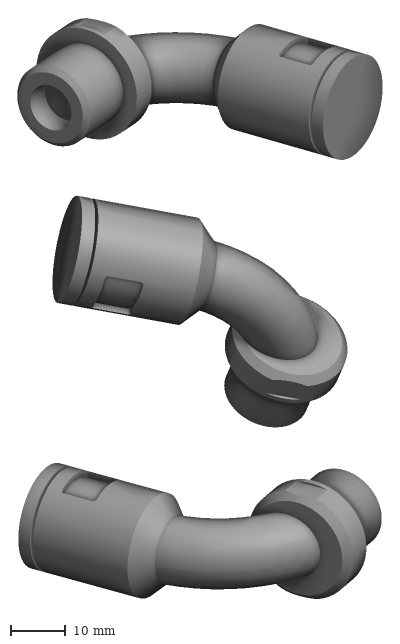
import cadquery as cq
import math


barrel_diameter = 20.0
barrel_end_x = 46.2
barrel_length = 23.0
barrel_start_x = barrel_end_x - barrel_length
neck_cone_run = 4.0

groove_diameter = 15.3
groove_width = 0.6
end_collar_length = 2.5

recess_length = 7.3
recess_width = 9.5
recess_depth = 1.2
recess_corner_radius = 0.6
recess_center_x = 36.6

tube_diameter = 13.0
bend_radius = 24.0
bend_center_x = barrel_start_x

spigot_diameter = 16.0
spigot_length = 12.0
spigot_end_y = -30.5
spigot_chamfer = 1.0
flange_diameter = 22.0
flange_thickness = 6.4
flange_chamfer = 1.45
flange_front_y = spigot_end_y + spigot_length
flange_back_y = flange_front_y + flange_thickness

across_flats = 21.0
flat_rim_thickness = 1.0

bore_diameter = 9.0
bore_depth = 5.0


def x_cylinder(diameter, start_x, length):
    """Cylinder on the barrel axis."""
    plane = cq.Workplane("YZ", origin=(start_x, 0, 0))
    return plane.circle(diameter / 2).extrude(length)


def y_cylinder(diameter, start_y, length):
    """Cylinder on the spigot axis, growing toward +Y."""
    plane = cq.Workplane("XZ", origin=(0, start_y, 0))
    return plane.circle(diameter / 2).extrude(-length)


def make_recess(side):
    """Rounded rectangular recess with a floor concentric to the barrel; side is +1 or -1."""
    block = (
        cq.Workplane("XY", origin=(recess_center_x, 0, 0))
        .rect(recess_length, recess_width)
        .extrude(side * barrel_diameter)
        .edges("|Z")
        .fillet(recess_corner_radius)
    )
    floor_diameter = barrel_diameter - 2 * recess_depth
    core = x_cylinder(floor_diameter, barrel_start_x, barrel_length)
    return block.cut(core)


def make_barrel():
    """Barrel with neck cone, ring groove and two recesses."""
    barrel_radius = barrel_diameter / 2
    neck_start_x = barrel_start_x - neck_cone_run
    barrel = (
        cq.Workplane("XY")
        .moveTo(neck_start_x, 0)
        .lineTo(neck_start_x, barrel_radius - neck_cone_run)
        .lineTo(barrel_start_x, barrel_radius)
        .lineTo(barrel_end_x, barrel_radius)
        .lineTo(barrel_end_x, 0)
        .close()
        .revolve(360, (0, 0, 0), (1, 0, 0))
    )
    groove_x = barrel_end_x - end_collar_length - groove_width
    groove = x_cylinder(barrel_diameter, groove_x, groove_width)
    groove = groove.cut(x_cylinder(groove_diameter, groove_x, groove_width))
    barrel = barrel.cut(groove)
    for side in (1, -1):
        barrel = barrel.cut(make_recess(side))
    return barrel


def make_elbow():
    """Curved tube from the barrel cone down to mid-thickness of the flange."""
    flange_middle_y = (flange_front_y + flange_back_y) / 2
    bend_angle = math.degrees(math.acos((bend_radius + flange_middle_y) / bend_radius))
    return (
        cq.Workplane("YZ", origin=(bend_center_x, 0, 0))
        .circle(tube_diameter / 2)
        .revolve(bend_angle, (-bend_radius, 0, 0), (-bend_radius, 1, 0))
    )


def make_flange():
    """Flange with a chamfered back edge and two flats facing +Z and -Z."""
    flange = y_cylinder(flange_diameter, flange_front_y, flange_thickness)
    flange = flange.faces(">Y").chamfer(flange_chamfer)
    rim = y_cylinder(flange_diameter, flange_front_y, flat_rim_thickness)
    slab = (
        cq.Workplane("XZ", origin=(0, flange_front_y, 0))
        .rect(flange_diameter, across_flats)
        .extrude(-flange_thickness)
    )
    return flange.intersect(slab).union(rim)


def make_spigot():
    """Spigot with a chamfered tip."""
    spigot = y_cylinder(spigot_diameter, spigot_end_y, spigot_length)
    return spigot.faces("<Y").chamfer(spigot_chamfer)


bore = y_cylinder(bore_diameter, spigot_end_y, bore_depth)
result = make_barrel().union(make_elbow()).union(make_flange()).union(make_spigot()).cut(bore)